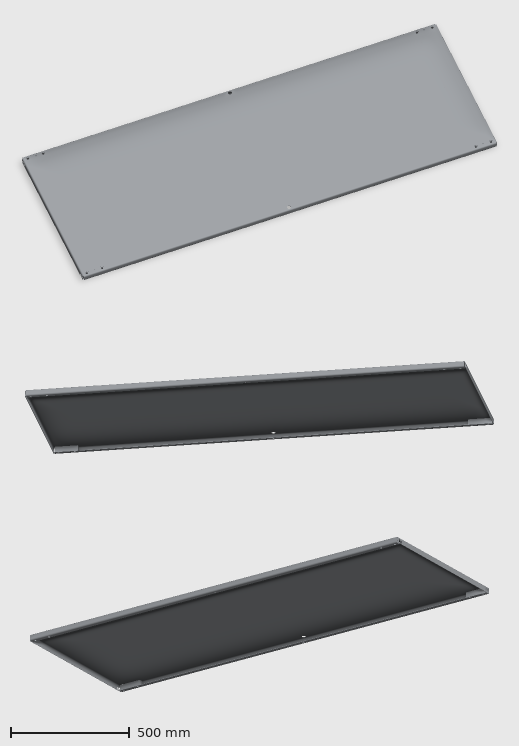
import cadquery as cq

WIDTH = 687.0
LENGTH = 1888.0
HEIGHT = 26.0

SHEET = 1.5
BEND_RADIUS = 5.9
INNER_RADIUS = BEND_RADIUS - SHEET
FLAT_WIDTH = WIDTH - 2 * BEND_RADIUS
FLAT_LENGTH = LENGTH - 2 * BEND_RADIUS
INNER_HEIGHT = HEIGHT - 2 * SHEET

CORNER_RELIEF = 4.7
CHANNEL_LENGTH = LENGTH - 2 * CORNER_RELIEF
CHANNEL_WIDTH = 23.0

SLOT_WIDTH = 10.4
SLOT_TOP_Z = 2.0
SLOT_BOTTOM_Z = -10.4
SLOT_X = WIDTH / 2 - CHANNEL_WIDTH - SLOT_WIDTH / 2

HOLE_X = WIDTH / 2 - 15.0
OUTER_SCREW_Y = 921.0
INNER_SCREW_Y = 851.0
LOCATING_HOLE_Y = 884.0
SCREW_YS = (-OUTER_SCREW_Y, -INNER_SCREW_Y, 0, INNER_SCREW_Y, OUTER_SCREW_Y)
ACCESS_DIAMETER = 17.0
SCREW_DIAMETER = 10.0
LOCATING_DIAMETER = 10.0

END_HOLE_X = WIDTH / 2 - 14.2
END_HOLE_Z = -2.0
END_ACCESS_DIAMETER = 13.0
END_SCREW_DIAMETER = 8.0
END_SCREW_DEPTH = 11.0

BLOCK_LENGTH = 102.0


def on_both_sides(x, offsets):
    """Sketch points at -x and +x for each offset along the other sketch axis."""
    return [(side * x, offset) for side in (-1, 1) for offset in offsets]


def upright_cylinders(points, diameter, bottom_z, top_z):
    """Vertical cutters between two heights."""
    start = cq.Workplane("XY").workplane(offset=bottom_z)
    return start.pushPoints(points).circle(diameter / 2).extrude(top_z - bottom_z)


def make_side_folds():
    """Bend, wall and bottom return of both long sides, without the flat top."""
    outside = cq.Workplane("XY").box(WIDTH, CHANNEL_LENGTH, HEIGHT)
    outside = outside.edges("|Y").fillet(BEND_RADIUS)
    inside = cq.Workplane("XY").box(WIDTH - 2 * SHEET, CHANNEL_LENGTH, INNER_HEIGHT)
    inside = inside.edges("|Y").fillet(INNER_RADIUS)

    bottom_opening = cq.Workplane("XY").box(WIDTH - 2 * CHANNEL_WIDTH, LENGTH, HEIGHT)
    top_opening = cq.Workplane("XY").box(FLAT_WIDTH, LENGTH, HEIGHT).translate((0, 0, HEIGHT / 2))
    return outside.cut(inside).cut(bottom_opening).cut(top_opening)


def make_top_and_end_folds():
    """Flat top with both ends bent down into plain flanges."""
    outside = cq.Workplane("XY").box(FLAT_WIDTH, LENGTH, HEIGHT)
    outside = outside.edges("|X and >Z").fillet(BEND_RADIUS)
    inside = cq.Workplane("XY").box(FLAT_WIDTH, LENGTH - 2 * SHEET, HEIGHT)
    inside = inside.edges("|X and >Z").fillet(INNER_RADIUS).translate((0, 0, -SHEET))
    return outside.cut(inside)


def make_end_flange_cutters():
    """Slots and access holes that pass through both end flanges."""
    slot_height = SLOT_TOP_Z - SLOT_BOTTOM_Z
    slot_z = (SLOT_TOP_Z + SLOT_BOTTOM_Z) / 2
    slot_centres = on_both_sides(SLOT_X, [slot_z])
    slots = cq.Workplane("XZ").pushPoints(slot_centres).rect(SLOT_WIDTH, slot_height)
    hole_centres = on_both_sides(END_HOLE_X, [END_HOLE_Z])
    holes = cq.Workplane("XZ").pushPoints(hole_centres).circle(END_ACCESS_DIAMETER / 2)
    return slots.extrude(LENGTH / 2, both=True), holes.extrude(LENGTH / 2, both=True)


def make_panel():
    """Folded sheet panel with the holes along its sides and in its end flanges."""
    slots, end_access_holes = make_end_flange_cutters()
    top_and_ends = make_top_and_end_folds().cut(slots).cut(end_access_holes)

    screw_points = on_both_sides(HOLE_X, SCREW_YS)
    locating_points = on_both_sides(HOLE_X, (-LOCATING_HOLE_Y, LOCATING_HOLE_Y))
    access_holes = upright_cylinders(screw_points, ACCESS_DIAMETER, 0, HEIGHT / 2)
    screw_holes = upright_cylinders(screw_points, SCREW_DIAMETER, -HEIGHT / 2, 0)
    locating_holes = upright_cylinders(locating_points, LOCATING_DIAMETER, 0, HEIGHT / 2)
    panel = top_and_ends.union(make_side_folds())
    return panel.cut(access_holes).cut(screw_holes).cut(locating_holes)


def make_corner_block(x_side, y_side):
    """Block inside the end of a side channel, drilled for two upright screws and an end screw."""
    wall_x = WIDTH / 2 - SHEET
    inner_x = WIDTH / 2 - CHANNEL_WIDTH
    end_y = FLAT_LENGTH / 2
    block = cq.Workplane("XY").box(wall_x - inner_x, BLOCK_LENGTH, INNER_HEIGHT)
    block = block.edges("|Y and >X").fillet(INNER_RADIUS)
    block = block.translate(((wall_x + inner_x) / 2, end_y - BLOCK_LENGTH / 2, 0))

    screw_points = [(HOLE_X, OUTER_SCREW_Y), (HOLE_X, INNER_SCREW_Y)]
    screw_holes = upright_cylinders(screw_points, SCREW_DIAMETER, -HEIGHT / 2, HEIGHT / 2)
    end_hole = (
        cq.Workplane("XZ", origin=(END_HOLE_X, end_y, END_HOLE_Z))
        .circle(END_SCREW_DIAMETER / 2)
        .extrude(END_SCREW_DEPTH)
    )
    block = block.cut(screw_holes).cut(end_hole)

    if x_side < 0:
        block = block.mirror("YZ")
    if y_side < 0:
        block = block.mirror("XZ")
    return block


panel = make_panel()
corner_blocks = [make_corner_block(x_side, y_side) for x_side in (-1, 1) for y_side in (-1, 1)]

result = cq.Compound.makeCompound([panel.val(), *[block.val() for block in corner_blocks]])